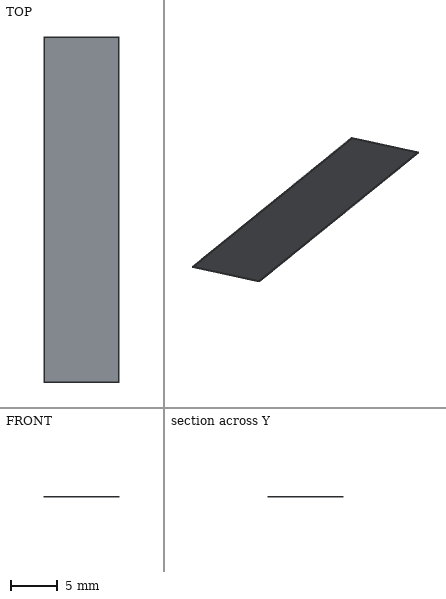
import cadquery as cq

width = 8.0
length = 37.0
thickness = 0.03

result = cq.Workplane("XY").box(width, length, thickness)